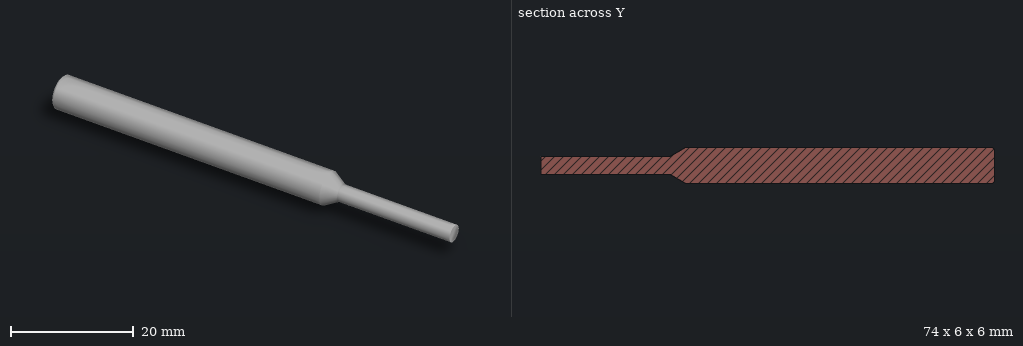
import cadquery as cq

total_length = 74.0
shank_diameter = 6.0
tip_diameter = 3.0
shank_length = 50.4
tip_length = 21.1
end_chamfer = 0.4

shank_radius = shank_diameter / 2
tip_radius = tip_diameter / 2
tip_start = total_length - tip_length

profile = (
    cq.Workplane("XY")
    .moveTo(0, 0)
    .lineTo(0, shank_radius - end_chamfer)
    .lineTo(end_chamfer, shank_radius)
    .lineTo(shank_length, shank_radius)
    .lineTo(tip_start, tip_radius)
    .lineTo(total_length, tip_radius)
    .lineTo(total_length, 0)
    .close()
)

result = profile.revolve(360, (0, 0, 0), (1, 0, 0))